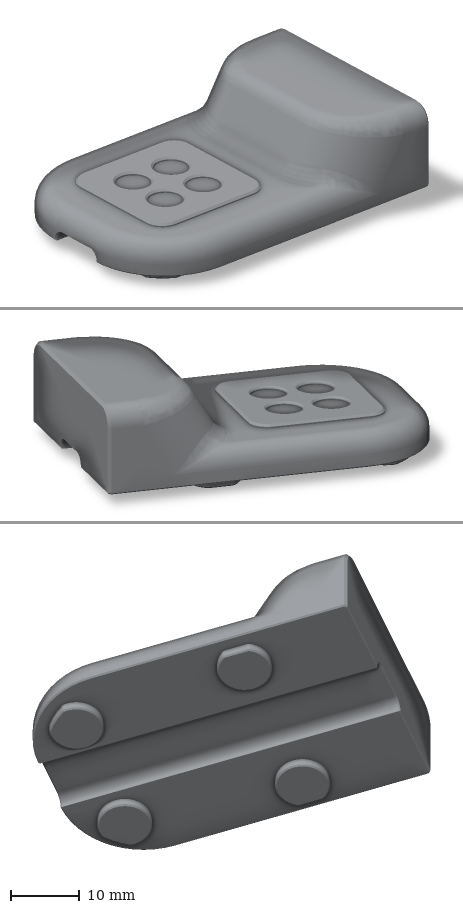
import cadquery as cq
import math

WIDTH = 35.0
LENGTH = 53.0
BODY_HEIGHT = 13.2
FOOT_HEIGHT = 1.4

BASE_HEIGHT = 5.1
BASE_CORNER_RADIUS = 13.0
EDGE_RADIUS = 3.0
BOTTOM_CHAMFER = 0.2

SLOPE_ANGLE = 31.0
BLOCK_TOP_LENGTH = 15.0
BLOCK_CORNER_RADIUS = 9.95
ROOT_RADIUS = 2.95
REAR_CHAMFER = 0.4

PAD_SIZE = 20.9
PAD_HEIGHT = 0.55
PAD_CENTRE_Y = 17.7
PAD_CORNER_RADIUS = 2.95
PAD_CHAMFER = 0.3
DIMPLE_PITCH = 7.25
DIMPLE_DIAMETER = 5.25
DIMPLE_STEP = 0.2

FOOT_DIAMETER = 8.0
FOOT_INSET = 2.0
FOOT_EDGE_RADIUS = 1.0
FOOT_CHAMFER = 0.2
FRONT_FOOT = (10.0, 8.0)
REAR_FOOT = (12.0, 35.0)

CHANNEL_WIDTH = 9.0
CHANNEL_HEIGHT = 1.75
CHANNEL_CORNER_RADIUS = 1.5
MOUTH_CHAMFER = 0.2


def base_outline(inset, height):
    """Prism of the base outline, drawn in from the full outline by the inset."""
    length = LENGTH - 2 * inset
    return (
        cq.Workplane("XY")
        .box(WIDTH - 2 * inset, length, height, centered=(True, False, False))
        .translate((0, inset, 0))
        .edges("|Z and <Y")
        .fillet(BASE_CORNER_RADIUS - inset)
    )


def make_base():
    plate = base_outline(0, BASE_HEIGHT)
    return plate.faces(">Z").edges("not >Y").fillet(EDGE_RADIUS)


def make_block():
    """Rear block: slanted corners rounded first, then the top rim."""
    top_edge_y = LENGTH - BLOCK_TOP_LENGTH
    toe_y = top_edge_y - BODY_HEIGHT * math.tan(math.radians(SLOPE_ANGLE))
    block = (
        cq.Workplane("YZ")
        .moveTo(LENGTH, 0)
        .lineTo(LENGTH, BODY_HEIGHT)
        .lineTo(top_edge_y, BODY_HEIGHT)
        .lineTo(toe_y, 0)
        .close()
        .extrude(WIDTH / 2, both=True)
    )
    slope_sides = block.faces("<Y").edges("not |X")
    block = slope_sides.fillet(BLOCK_CORNER_RADIUS)
    return block.faces(">Z").edges("not >Y").fillet(EDGE_RADIUS)


def make_body():
    """Base and block joined, with the root of the slope blended."""
    body = make_base().union(make_block())
    root_search = cq.selectors.BoxSelector(
        (-WIDTH / 4, LENGTH / 2, BASE_HEIGHT - EDGE_RADIUS / 2),
        (WIDTH / 4, LENGTH - BLOCK_TOP_LENGTH, BASE_HEIGHT + EDGE_RADIUS / 2),
    )
    body = body.edges("|X").edges(root_search).fillet(ROOT_RADIUS)
    body = body.faces(">Y").edges("not <Z").chamfer(REAR_CHAMFER)
    return body.faces("<Z").chamfer(BOTTOM_CHAMFER)


def make_pad():
    pad = (
        cq.Workplane("XY", origin=(0, PAD_CENTRE_Y, BASE_HEIGHT))
        .rect(PAD_SIZE, PAD_SIZE)
        .extrude(PAD_HEIGHT)
        .edges("|Z")
        .fillet(PAD_CORNER_RADIUS)
    )
    return pad.faces(">Z").chamfer(PAD_CHAMFER)


def make_dimples():
    """Four shallow round recesses with bevelled rims."""
    top_z = BASE_HEIGHT + PAD_HEIGHT
    rim_z = top_z - PAD_CHAMFER
    radius = DIMPLE_DIAMETER / 2
    dimple = (
        cq.Workplane("XZ")
        .moveTo(0, rim_z - DIMPLE_STEP)
        .lineTo(radius, rim_z - DIMPLE_STEP)
        .lineTo(radius, rim_z)
        .lineTo(radius + PAD_CHAMFER, top_z)
        .lineTo(0, top_z)
        .close()
        .revolve(360, (0, 0), (0, 1))
        .val()
    )
    return (
        cq.Workplane("XY", origin=(0, PAD_CENTRE_Y, 0))
        .rarray(DIMPLE_PITCH, DIMPLE_PITCH, 2, 2)
        .eachpoint(dimple, combine=False)
    )


def make_foot(centre):
    """Disc trimmed by the inset base outline, hanging below the underside."""
    disc = cq.Workplane("XY").center(*centre).circle(FOOT_DIAMETER / 2).extrude(FOOT_HEIGHT)
    foot = disc.intersect(base_outline(FOOT_INSET, FOOT_HEIGHT))
    foot = foot.edges("|Z").fillet(FOOT_EDGE_RADIUS)
    return foot.faces("<Z").chamfer(FOOT_CHAMFER).translate((0, 0, -FOOT_HEIGHT))


def channel_section(growth):
    """Channel outline grown all round; it is mirrored below Z = 0 to clear the underside."""
    width = CHANNEL_WIDTH + 2 * growth
    height = CHANNEL_HEIGHT + growth
    section = cq.Sketch().rect(width, 2 * height)
    return section.vertices().fillet(CHANNEL_CORNER_RADIUS + growth)


def make_channel():
    """Full-length groove in the underside, flared at both ends."""
    straight = cq.Workplane("XZ").placeSketch(channel_section(0)).extrude(-LENGTH)
    front_mouth = (
        cq.Workplane("XZ")
        .placeSketch(channel_section(MOUTH_CHAMFER))
        .extrude(-MOUTH_CHAMFER, taper=45)
    )
    rear_mouth = front_mouth.mirror("XZ").translate((0, LENGTH, 0))
    return straight.union(front_mouth).union(rear_mouth)


result = make_body().cut(make_channel())
result = result.union(make_pad()).cut(make_dimples())
for foot_centre in (FRONT_FOOT, REAR_FOOT):
    foot = make_foot(foot_centre)
    result = result.union(foot).union(foot.mirror("YZ"))